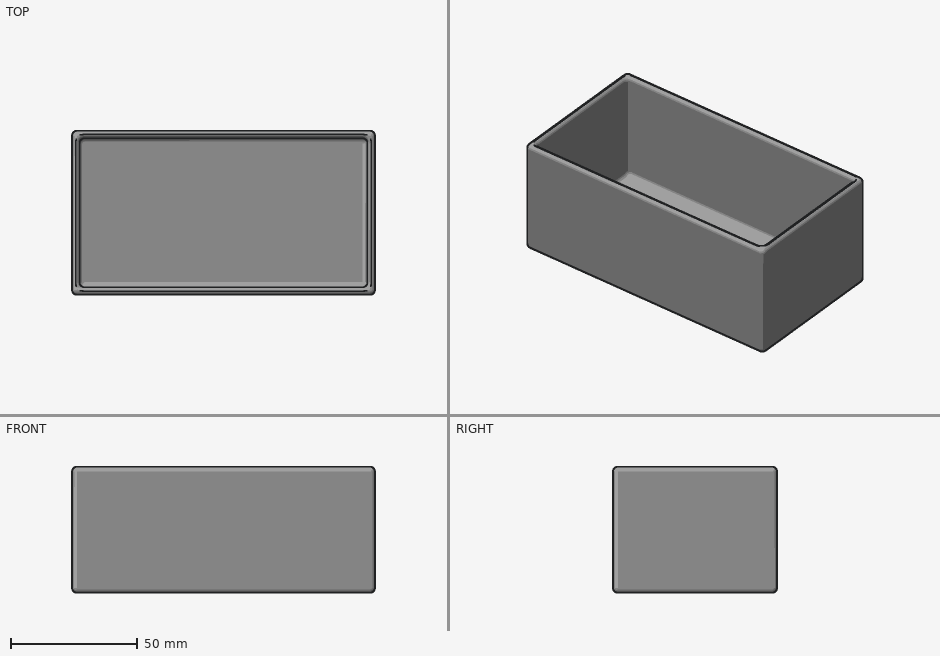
import cadquery as cq

length = 120.0
width = 65.0
height = 50.0

wall = 3.0
floor_thickness = wall
edge_radius = 2.0

block_margin = 6.0


def upright_box(size_x, size_y, size_z, base_z=0.0):
    """Box centered on the Z axis, standing on the level base_z."""
    return (
        cq.Workplane("XY")
        .workplane(offset=base_z)
        .box(size_x, size_y, size_z, centered=(True, True, False))
    )


def outer_shape():
    """Solid box with all its edges rounded."""
    return upright_box(length, width, height).edges().fillet(edge_radius)


def hollow_block():
    """Oversized block with the rounded cavity and its flared opening."""
    cavity = (
        upright_box(length - 2 * wall, width - 2 * wall, height, floor_thickness)
        .edges("|Z or <Z")
        .fillet(edge_radius)
    )
    block = upright_box(length + 2 * block_margin, width + 2 * block_margin, height).cut(cavity)
    opening = cq.selectors.BoxSelector(
        (-length / 2, -width / 2, height - edge_radius),
        (length / 2, width / 2, height + edge_radius),
    )
    return block.edges(opening).edges(">Z").fillet(edge_radius)


result = outer_shape().intersect(hollow_block())